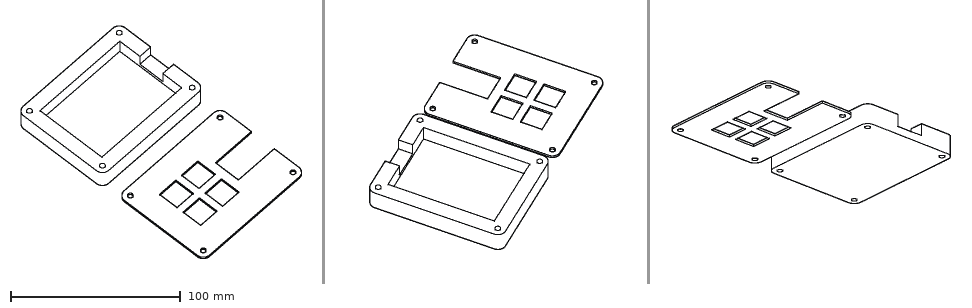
import cadquery as cq

width = 68.8
length = 87.8
corner_radius = 5.0
case_height = 13.0
plate_thickness = 1.5

screw_hole_diameter = 3.4
screw_inset = corner_radius

pocket_width = 49.8
pocket_length = 69.1
pocket_left = (width - pocket_width) / 2
pocket_front = (length - pocket_length) / 2
floor_thickness = 3.0

connector_width = 18.4
notch_left = 25.7
notch_sill_height = 5.2

total_width = 148.5
total_length = 89.3
plate_x = total_width - width
plate_y = total_length - length

plate_slot_left = 25.5
plate_slot_length = 31.0

key_size = 14.1
key_pitch = 19.0
key_columns = 2
key_rows = 2
first_key_left = 17.1
first_key_front = 17.4


def box(x, y, z, size_x, size_y, size_z):
    """Box placed by its minimum corner."""
    return cq.Workplane("XY").box(size_x, size_y, size_z, centered=False).translate((x, y, z))


def rounded_slab(height):
    """Slab with rounded vertical edges and a screw hole in each corner."""
    slab = box(0, 0, 0, width, length, height).edges("|Z").fillet(corner_radius)
    hole_centers = [
        (x, y)
        for x in (screw_inset, width - screw_inset)
        for y in (screw_inset, length - screw_inset)
    ]
    holes = (
        cq.Workplane("XY")
        .pushPoints(hole_centers)
        .circle(screw_hole_diameter / 2)
        .extrude(height)
    )
    return slab.cut(holes)


def make_case():
    """Open tray with a connector notch in its back wall."""
    pocket = box(
        pocket_left, pocket_front, floor_thickness,
        pocket_width, pocket_length, case_height - floor_thickness,
    )
    pocket_back = pocket_front + pocket_length
    notch = box(
        notch_left, pocket_back, notch_sill_height,
        connector_width, length - pocket_back, case_height - notch_sill_height,
    )
    return rounded_slab(case_height).cut(pocket).cut(notch)


def make_plate():
    """Flat cover with key openings and a connector slot."""
    plate = rounded_slab(plate_thickness)
    connector_slot = box(
        plate_slot_left, length - plate_slot_length, 0,
        connector_width, plate_slot_length, plate_thickness,
    )
    plate = plate.cut(connector_slot)
    for column in range(key_columns):
        for row in range(key_rows):
            key_opening = box(
                first_key_left + column * key_pitch, first_key_front + row * key_pitch, 0,
                key_size, key_size, plate_thickness,
            )
            plate = plate.cut(key_opening)
    return plate


case = make_case()
plate = make_plate().translate((plate_x, plate_y, 0))

result = cq.Compound.makeCompound([case.val(), plate.val()])